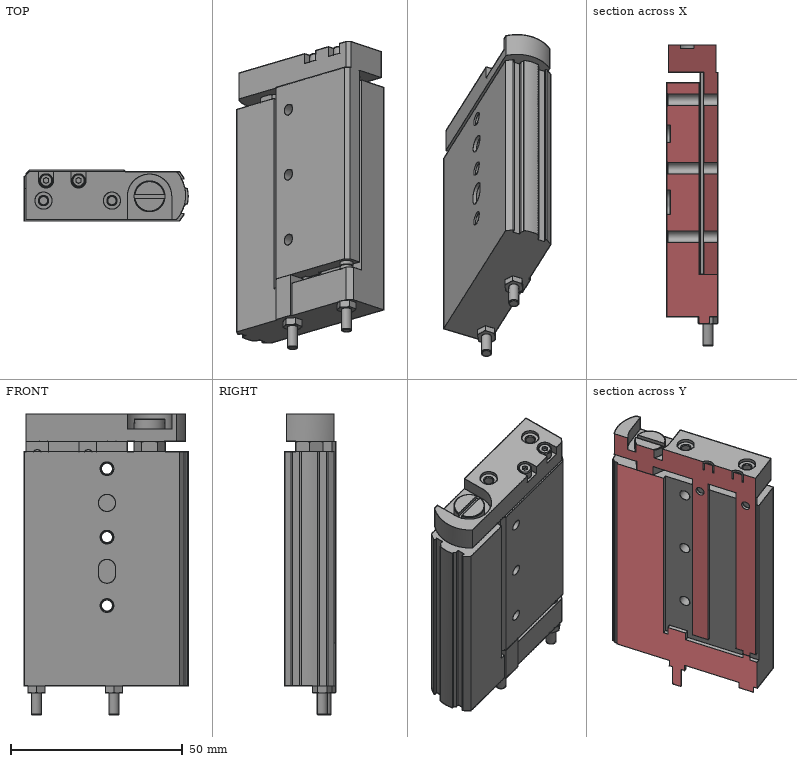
import cadquery as cq
import math


housing_height = 68.5
housing_depth = 14.5
housing_corner_x = 45.4
housing_width = 47.98
edge_chamfer = 1.5

side_center_y = housing_depth / 2
lip_x = 46.7
lip_outer = 5.4
lip_inner = 5.0
rail_half_width = 2.3
rail_edge_x = 47.7
rail_root_half_width = 2.9
rail_shoulder_x = 47.35
groove_floor_x = 45.8

recess_front = 9.5
recess_floor = 10.0
recess_right = 30.5

mount_x = 24.2
mount_first_z = 23.5
mount_pitch = 20.0
mount_heights = [mount_first_z + i * mount_pitch for i in range(3)]
mount_diameter = 3.24
mount_mouth_diameter = 4.0
mount_mouth_depth = (mount_mouth_diameter - mount_diameter) / 2
locating_diameter = 5.0
locating_depth = 1.0
locating_slot_length = 7.0
locating_slot_z = mount_first_z + mount_pitch / 2
locating_hole_z = locating_slot_z + mount_pitch

screw_diameter = 3.0
screw_tip_z = -8.5
screw_tip_chamfer = 0.25
screw_hex_across_flats = 5.0
screw_hex_height = 2.0
screw_places = [(3.6, 12.1), (26.25, 11.0)]
boss_width = 5.9
stop_diameter = 3.9
stop_top = 11.4
stop_chamfer = 0.2

trim_share = 0.25

slide_left = 0.5
slide_right = 30.2
slide_front = 9.8
slide_back = 15.0
slide_bottom = 12.5
slide_chamfer = 1.1
runner_edges = [(7.05, 16.05), (21.2, slide_right)]
runner_relief_depth = 1.0
dimple_diameter = 2.46
dimple_depth = 1.5
dimple_xs = [3.8, 18.7]
dimple_z = 67.85

plate_gap = 3.0
plate_height = 8.0
plate_bottom = housing_height + plate_gap
plate_top = plate_bottom + plate_height
plate_front = 0.5
plate_back = 14.5
plate_chamfer = 1.0

bolt_x = 36.65
bolt_y = housing_depth / 2
plate_end_radius = 10.55
pocket_radius = 6.5
pocket_depth = 4.4
bolt_head_diameter = 9.0
bolt_head_height = 3.0
bolt_head_chamfer = 0.2
bolt_slot_width = 1.2
bolt_slot_depth = 1.2
bolt_hex_across_flats = 8.0

thread_y = 6.0
thread_first_x = 5.65
thread_pitch = 20.0
thread_xs = [thread_first_x, thread_first_x + thread_pitch]
thread_mouth_diameter = 5.0
thread_mouth_depth = 1.0
thread_diameter = 3.0
thread_core_diameter = 2.46
thread_chamfer_depth = (thread_diameter - thread_core_diameter) / 2

socket_xs = [6.4, 15.9]
socket_y = 11.9
notch_width = 4.4
notch_depth = 3.0
socket_head_diameter = 3.9
socket_head_height = 2.7
socket_head_chamfer = 0.3
socket_across_flats = 1.5
socket_depth = 1.0

INWARD = cq.Vector(0, 1, 0)
DOWN = cq.Vector(0, 0, -1)


def box(x0, x1, y0, y1, z0, z1):
    """Block between the given limits."""
    return cq.Workplane("XY").box(x1 - x0, y1 - y0, z1 - z0, centered=False).translate((x0, y0, z0))


def cylinder(x, y, z0, z1, diameter):
    """Upright cylinder centred at (x, y)."""
    return cq.Workplane("XY", origin=(x, y, z0)).circle(diameter / 2).extrude(z1 - z0)


def cone(start, direction, start_diameter, end_diameter, length):
    """Truncated cone that runs from the start point along the direction."""
    solid = cq.Solid.makeCone(start_diameter / 2, end_diameter / 2, length, start, direction)
    return cq.Workplane("XY").add(solid)


def hexagon(x, y, z0, z1, across_flats, turn=0):
    """Upright hexagonal prism with two corners along X, or along Y when turned by 90 degrees."""
    corners = across_flats / math.cos(math.pi / 6)
    prism = cq.Workplane("XY").polygon(6, corners).extrude(z1 - z0)
    return prism.rotate((0, 0, 0), (0, 0, 1), turn).translate((x, y, z0))


def corner_cone(x, y, z0, z1, across_flats, faces):
    """Chamfered cylinder whose rim trims the corners of a hexagon."""
    corners = across_flats / math.cos(math.pi / 6)
    return cylinder(x, y, z0, z1, corners).faces(faces).chamfer((corners - across_flats) * trim_share)


def front_hole(z, diameter, depth):
    """Cylinder that enters the front face of the housing."""
    return cq.Workplane("XZ", origin=(mount_x, 0, z)).circle(diameter / 2).extrude(-depth)


def mount_holes(depth):
    """The three mounting bores, starting at the front face."""
    bores = front_hole(mount_heights[0], mount_diameter, depth)
    for z in mount_heights[1:]:
        bores = bores.union(front_hole(z, mount_diameter, depth))
    return bores


def housing_block():
    """Extruded housing section with its lips, grooves and crowned rail on the right."""
    c = side_center_y
    section = (
        cq.Workplane("XY")
        .moveTo(0, 0)
        .lineTo(housing_corner_x, 0)
        .lineTo(lip_x, c - lip_outer)
        .lineTo(lip_x, c - lip_inner)
        .lineTo(groove_floor_x, c - lip_inner)
        .lineTo(groove_floor_x, c - rail_root_half_width)
        .lineTo(lip_x, c - rail_root_half_width)
        .lineTo(rail_shoulder_x, c - rail_half_width)
        .lineTo(rail_edge_x, c - rail_half_width)
        .threePointArc((housing_width, c), (rail_edge_x, c + rail_half_width))
        .lineTo(rail_shoulder_x, c + rail_half_width)
        .lineTo(lip_x, c + rail_root_half_width)
        .lineTo(groove_floor_x, c + rail_root_half_width)
        .lineTo(groove_floor_x, c + lip_inner)
        .lineTo(lip_x, c + lip_inner)
        .lineTo(lip_x, c + lip_outer)
        .lineTo(housing_corner_x, housing_depth)
        .lineTo(edge_chamfer, housing_depth)
        .lineTo(0, housing_depth - edge_chamfer)
        .close()
    )
    block = section.extrude(housing_height)
    block = block.cut(box(0, recess_right, recess_front, housing_depth, recess_floor, housing_height))
    boss_x = screw_places[1][0]
    half = boss_width / 2
    return block.union(box(boss_x - half, boss_x + half, recess_front, slide_back, 0, slide_bottom))


def front_features():
    """Countersunk mounting holes, locating hole and locating slot."""
    cutter = mount_holes(housing_depth)
    for z in mount_heights:
        start = cq.Vector(mount_x, 0, z)
        cutter = cutter.union(cone(start, INWARD, mount_mouth_diameter, mount_diameter, mount_mouth_depth))
    slot = (
        cq.Workplane("XZ", origin=(mount_x, 0, locating_slot_z))
        .slot2D(locating_slot_length, locating_diameter, 90)
        .extrude(-locating_depth)
    )
    return cutter.union(front_hole(locating_hole_z, locating_diameter, locating_depth)).union(slot)


def adjusting_screw(x, y):
    """Threaded end and hexagon below the housing."""
    shank = cylinder(x, y, screw_tip_z, 0, screw_diameter).faces("<Z").chamfer(screw_tip_chamfer)
    nut = hexagon(x, y, -screw_hex_height, 0, screw_hex_across_flats, 90)
    trim = corner_cone(x, y, -screw_hex_height, 0, screw_hex_across_flats, "<Z")
    return shank.union(nut.intersect(trim))


def stop_pin(x, y):
    """Stop that stands on the floor of the recess."""
    return cylinder(x, y, recess_floor, stop_top, stop_diameter).faces(">Z").chamfer(stop_chamfer)


def make_housing():
    body = housing_block().cut(front_features())
    for x, y in screw_places:
        body = body.union(adjusting_screw(x, y))
    return body.union(stop_pin(*screw_places[0]))


def slide_plate():
    """Upright plate that runs in the recess of the housing."""
    plate = box(slide_left, slide_right, slide_front, slide_back, slide_bottom, plate_bottom)
    plate = plate.edges("|Z and >Y").chamfer(slide_chamfer)
    for x0, x1 in runner_edges:
        relief_back = slide_front + runner_relief_depth
        plate = plate.cut(box(x0, x1, slide_front, relief_back, slide_bottom, plate_bottom))
    for x in dimple_xs:
        dimple = cq.Workplane("XZ", origin=(x, slide_front, dimple_z)).circle(dimple_diameter / 2)
        plate = plate.cut(dimple.extrude(-dimple_depth))
    stub = cylinder(*screw_places[0], stop_top, slide_bottom, stop_diameter)
    return plate.union(stub).cut(mount_holes(slide_back))


def end_plate():
    """Plate across the top of the housing, with its rounded end on the right."""
    half_depth = (plate_back - plate_front) / 2
    corner_x = bolt_x + math.sqrt(plate_end_radius**2 - half_depth**2)
    section = (
        cq.Workplane("XY", origin=(0, 0, plate_bottom))
        .moveTo(slide_left, plate_front)
        .lineTo(corner_x, plate_front)
        .threePointArc((bolt_x + plate_end_radius, plate_front + half_depth), (corner_x, plate_back))
        .lineTo(slide_left + plate_chamfer, plate_back)
        .lineTo(slide_left, plate_back - plate_chamfer)
        .close()
    )
    return section.extrude(plate_height)


def bolt_pocket():
    """Round-ended pocket, open to the front."""
    floor = plate_top - pocket_depth
    channel = box(bolt_x - pocket_radius, bolt_x + pocket_radius, plate_front, bolt_y, floor, plate_top)
    return channel.union(cylinder(bolt_x, bolt_y, floor, plate_top, 2 * pocket_radius))


def slotted_bolt():
    """Slotted head in the pocket and hexagon between the plate and the housing."""
    floor = plate_top - pocket_depth
    head_top = floor + bolt_head_height
    head = cylinder(bolt_x, bolt_y, floor, head_top, bolt_head_diameter)
    head = head.faces(">Z").chamfer(bolt_head_chamfer)
    reach = bolt_head_diameter / 2
    half_slot = bolt_slot_width / 2
    slot = box(bolt_x - reach, bolt_x + reach, bolt_y - half_slot, bolt_y + half_slot,
               head_top - bolt_slot_depth, head_top)
    nut = hexagon(bolt_x, bolt_y, housing_height, plate_bottom, bolt_hex_across_flats)
    trim = corner_cone(bolt_x, bolt_y, housing_height, plate_bottom, bolt_hex_across_flats, ">Z")
    return head.cut(slot), nut.intersect(trim)


def threaded_hole(x):
    """Counterbored, countersunk core hole through the end plate."""
    mouth_floor = plate_top - thread_mouth_depth
    counterbore = cylinder(x, thread_y, mouth_floor, plate_top, thread_mouth_diameter)
    core = cylinder(x, thread_y, plate_bottom, plate_top, thread_core_diameter)
    start = cq.Vector(x, thread_y, mouth_floor)
    countersink = cone(start, DOWN, thread_diameter, thread_core_diameter, thread_chamfer_depth)
    return counterbore.union(core).union(countersink)


def socket_notch(x):
    """Round-bottomed notch in the back edge of the end plate."""
    floor = plate_top - notch_depth
    half = notch_width / 2
    notch = box(x - half, x + half, socket_y, plate_back, floor, plate_top)
    return notch.union(cylinder(x, socket_y, floor, plate_top, notch_width))


def socket_head(x):
    """Head of a socket screw, standing in its notch."""
    floor = plate_top - notch_depth
    head_top = floor + socket_head_height
    head = cylinder(x, socket_y, floor, head_top, socket_head_diameter)
    head = head.faces(">Z").chamfer(socket_head_chamfer)
    return head.cut(hexagon(x, socket_y, head_top - socket_depth, head_top, socket_across_flats, 90))


def make_slide_table():
    body = end_plate().cut(bolt_pocket()).union(slide_plate())
    for part in slotted_bolt():
        body = body.union(part)
    for x in thread_xs:
        body = body.cut(threaded_hole(x))
    for x in socket_xs:
        body = body.cut(socket_notch(x)).union(socket_head(x))
    return body


housing = make_housing()
slide_table = make_slide_table()

result = cq.Compound.makeCompound([*housing.solids().vals(), *slide_table.solids().vals()])